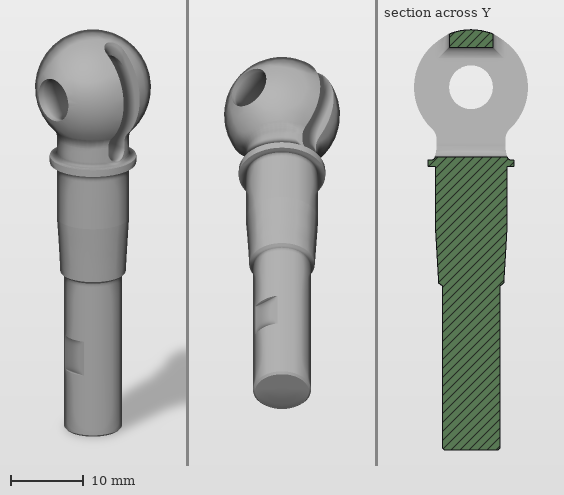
import cadquery as cq
import math

total_height = 58
ball_radius = 8.0
ball_center_z = total_height - ball_radius
cross_hole_radius = 3.0

neck_radius = 5.0
neck_fillet = 2.0
flange_radius = 6.0
flange_top_z = 40
flange_thickness = 1.0
flange_fillet = 0.5
taper_top_z = 31.0
taper_end_z = 23.0
taper_end_radius = 4.5
shank_radius = 4.0
shoulder_end_z = 22.6
end_chamfer = 0.3

slot_width = 3.0
slot_bottom_z = 40.4
slot_top_z = 55.5
groove_inner_x = 3.0

flats_across = 7.0
flat_bottom_z = 9.0
flat_height = 5.0


def turned_body():
    """Revolve the ball, neck, flange and stepped shank about Z."""
    fillet_center_r = neck_radius + neck_fillet
    center_distance = ball_radius + neck_fillet
    fillet_center_z = ball_center_z - math.sqrt(center_distance**2 - fillet_center_r**2)
    touch_ratio = ball_radius / center_distance
    ball_touch_r = fillet_center_r * touch_ratio
    ball_touch_z = ball_center_z + (fillet_center_z - ball_center_z) * touch_ratio
    touch_angle = math.atan2(ball_touch_z - fillet_center_z, ball_touch_r - fillet_center_r)
    middle_angle = (math.pi + touch_angle) / 2
    fillet_middle = (
        fillet_center_r + neck_fillet * math.cos(middle_angle),
        fillet_center_z + neck_fillet * math.sin(middle_angle),
    )
    diagonal = flange_fillet * (1 - math.sqrt(0.5))
    flange_bottom_z = flange_top_z - flange_thickness

    profile = (
        cq.Workplane("XZ")
        .lineTo(shank_radius - end_chamfer, 0)
        .lineTo(shank_radius, end_chamfer)
        .lineTo(shank_radius, shoulder_end_z)
        .lineTo(taper_end_radius, taper_end_z)
        .lineTo(neck_radius, taper_top_z)
        .lineTo(neck_radius, flange_bottom_z)
        .lineTo(flange_radius, flange_bottom_z)
        .lineTo(flange_radius, flange_top_z)
        .lineTo(neck_radius + flange_fillet, flange_top_z)
        .threePointArc(
            (neck_radius + diagonal, flange_top_z + diagonal),
            (neck_radius, flange_top_z + flange_fillet),
        )
        .lineTo(neck_radius, fillet_center_z)
        .threePointArc(fillet_middle, (ball_touch_r, ball_touch_z))
        .threePointArc((ball_radius, ball_center_z), (0, total_height))
        .close()
    )
    return profile.revolve(360, (0, 0), (0, 1))


def cross_hole():
    """Round hole through the ball along Y."""
    return (
        cq.Workplane("XZ")
        .center(0, ball_center_z)
        .circle(cross_hole_radius)
        .extrude(ball_radius, both=True)
    )


def through_slot():
    """Round-ended upright slot running along X."""
    return (
        cq.Workplane("YZ")
        .center(0, (slot_bottom_z + slot_top_z) / 2)
        .slot2D(slot_top_z - slot_bottom_z, slot_width, 90)
        .extrude(ball_radius, both=True)
    )


def top_groove(side):
    """Round-ended groove opening the slot upward on one X side."""
    outer_x = ball_radius + slot_width
    return (
        cq.Workplane("XY", origin=(0, 0, ball_center_z))
        .center(side * (groove_inner_x + outer_x) / 2, 0)
        .slot2D(outer_x - groove_inner_x, slot_width)
        .extrude(ball_radius)
    )


def wrench_flat(side):
    """Material removed for the flat on one Y side of the shank."""
    depth = shank_radius
    return cq.Workplane("XY").box(
        2 * shank_radius, depth, flat_height, centered=(True, True, False)
    ).translate((0, side * (flats_across + depth) / 2, flat_bottom_z))


result = turned_body().cut(cross_hole()).cut(through_slot())
for side in (-1, 1):
    result = result.cut(top_groove(side)).cut(wrench_flat(side))